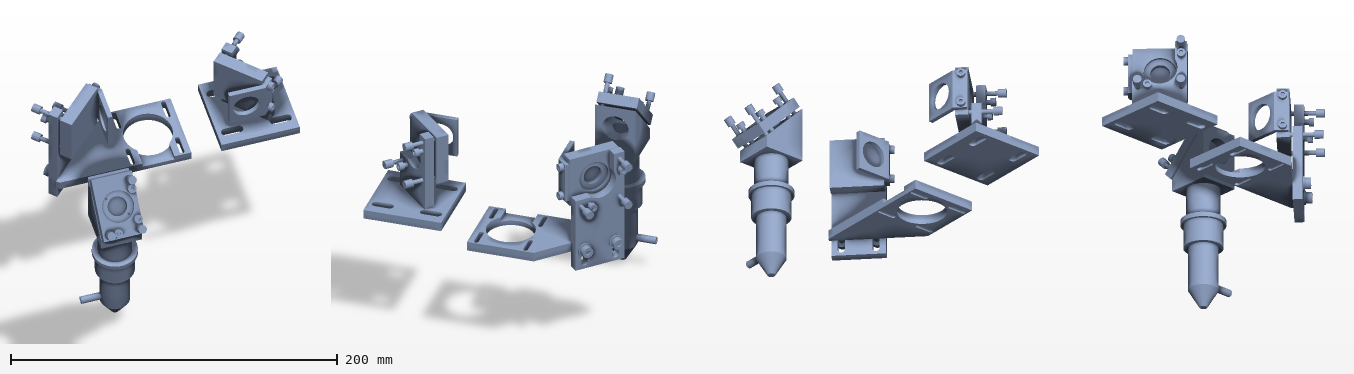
import cadquery as cq
import math


BEAM_Z = 36.4
MIRROR_X = -31.8
BASE_MIRROR_Y = 49.9
MOTOR_MIRROR_Y = -53.7
BASE_TURN = -135
MOTOR_TURN = -45

GAP = 2.0
HEAD_DIA = 5.3
LONG_SHANK_DIA = 2.8
LONG_STANDOFF = 7.2
LONG_HEAD = 5.3
SHORT_SHANK_DIA = 3.1
SHORT_STANDOFF = 2.8
SHORT_HEAD = 3.1
SHORT_INSET = 6.0
SOCKET_FLATS = 2.5
SOCKET_DEPTH = 1.5

SEAT_DIA = 20.0
SEAT_DEPTH = 2.0
SEAT_BORE_DIA = 12.2
SEAT_BORE_DEPTH = 3.3

MOUNT_WIDTH = 33.5
POST_THICK = 6.1
POST_TOP = 54.0
NOTCH_RADIUS = 10.9
NOTCH_SIDE = 9.5
NOTCH_FLOOR = 27.5
MOUNT_SCREW = 13.3
CARRIER_THICK = 8.0
CARRIER_HEIGHT = 33.0
GUARD_THICK = 3.0
GUARD_HEIGHT = 26.0
GUARD_SETBACK = 0.5
GUARD_LEG = 21.7
GUARD_HOLE_DIA = 16.8
GUARD_SCREW_HEAD = 2.8
GUARD_SCREW_DZ = 10.0

BASE_SIDE = 50.0
BASE_THICK = 6.0
BASE_TOP = 4.0
BASE_X = -39.3
BASE_Y = 57.3
BASE_SLOT_WIDTH = 5.3
BASE_SLOT_LENGTH = 14.0
BASE_SLOT_DX = 15.8
BASE_SLOT_DY = 15.5

PLATE_LEFT = -66.2
PLATE_RIGHT = -21.4
PLATE_BACK = 15.1
PLATE_TOP = -5.5
PLATE_THICK = 6.1
PLATE_CORNER_CUT = 2.5
MOTOR_Y = -6.0
MOTOR_HOLE_DIA = 30.6
CHANNEL_WIDTH = 20.4
CHANNEL_DEPTH = 3.0
MOTOR_SLOT_WIDTH = 3.0
MOTOR_SLOT_LENGTH = 13.0
MOTOR_SLOT_DX = 14.8
MOTOR_SLOT_DY = 15.8
POST_BOTTOM = -22.0
CLAMP_DX = 10.7
CLAMP_SLOT_WIDTH = 4.5
CLAMP_SLOT_BOTTOM = -20.0
CLAMP_SHANK_DIA = 4.0
CLAMP_HEAD_DIA = 7.0
CLAMP_HEAD = 4.0
CLAMP_SOCKET_FLATS = 3.0
WASHER_DIA = 8.9
WASHER_THICK = 1.0

HEAD_X = 38.0
HEAD_Y = -51.5
BLOCK_WIDTH = 28.3
BLOCK_DEPTH = 26.0
BLOCK_BOTTOM = 15.0
BLOCK_LOW_SIDE = 7.7
BLOCK_BORE_DIA = 16.8
DOWN_BORE_DIA = 11.5
LID_LENGTH = 39.2
LID_THICK = 6.7
LID_SHIFT = 0.8
LID_SCREW_ALONG = 15.5
LID_SCREW_ACROSS = 9.9
LID_SCREW_SHIFT = 0.2
LID_DISC_DIA = 17.1
LID_DISC_THICK = 1.0
SPANNER_HOLE_DIA = 1.6
SPANNER_HOLE_RADIUS = 8.4
SPANNER_HOLE_DEPTH = 1.3
BARREL_RADIUS = 10.5
FLANGE_RADIUS = 14.2
FLANGE_TOP = -6.1
FLANGE_BOTTOM = -9.0
SLEEVE_RADIUS = 12.3
SLEEVE_BOTTOM = -24.4
NOZZLE_RADIUS = 9.4
CONE_TOP = -52.7
TIP_RADIUS = 2.5
TIP_Z = -64.2
INLET_Z = -47.9
INLET_DIA = 4.6
INLET_BORE_DIA = 2.5
INLET_END_Y = -73.4


def cap_screw(plane, x, y, head_dia, head_length, shank_dia, standoff, depth, socket_flats=0):
    """Screw at (x, y) of a plane; the head starts at standoff, the shank reaches depth below the plane."""
    at_point = cq.Workplane(plane).center(x, y)
    shank = at_point.workplane(offset=-depth).circle(shank_dia / 2).extrude(depth + standoff)
    head = at_point.workplane(offset=standoff).circle(head_dia / 2).extrude(head_length)
    if socket_flats:
        across_corners = socket_flats / math.cos(math.radians(30))
        rim = at_point.workplane(offset=standoff + head_length)
        head = head.cut(rim.polygon(6, across_corners).extrude(-SOCKET_DEPTH))
    return head.union(shank)


def long_screw(plane, x, y, depth):
    return cap_screw(plane, x, y, HEAD_DIA, LONG_HEAD, LONG_SHANK_DIA, LONG_STANDOFF, depth)


def short_screw(plane, x, y, depth):
    return cap_screw(plane, x, y, HEAD_DIA, SHORT_HEAD, SHORT_SHANK_DIA, SHORT_STANDOFF, depth, SOCKET_FLATS)


def mirror_recess(plane):
    """Cutter for a mirror seat and the deeper bore in its floor."""
    seat = cq.Workplane(plane).circle(SEAT_DIA / 2).extrude(-SEAT_DEPTH)
    bore = cq.Workplane(plane).circle(SEAT_BORE_DIA / 2).extrude(-SEAT_DEPTH - SEAT_BORE_DEPTH)
    return seat.union(bore)


def block(x_min, x_max, y_min, y_max, z_min, z_max):
    return cq.Workplane("XY").box(
        x_max - x_min, y_max - y_min, z_max - z_min, centered=False
    ).translate((x_min, y_min, z_min))


CARRIER_FRONT = -CARRIER_THICK / 2
POST_REAR = CARRIER_FRONT - GAP
POST_FRONT = POST_REAR - POST_THICK
HALF_WIDTH = MOUNT_WIDTH / 2
POST_FACE = cq.Plane(origin=(0, POST_FRONT, BEAM_Z), xDir=(1, 0, 0), normal=(0, -1, 0))


def mount_post(bottom):
    """Fixed plate with its upper corner cut away around the mirror."""
    post = block(-HALF_WIDTH, HALF_WIDTH, POST_FRONT, POST_REAR, bottom, POST_TOP)
    corner = block(-HALF_WIDTH, NOTCH_SIDE, POST_FRONT, POST_REAR, BEAM_Z, POST_TOP)
    side = block(-HALF_WIDTH, 0, POST_FRONT, POST_REAR, NOTCH_FLOOR, BEAM_Z)
    round_cut = cq.Workplane(POST_FACE).circle(NOTCH_RADIUS).extrude(-POST_THICK)
    return post.cut(corner).cut(side).cut(round_cut)


def mirror_carrier():
    half_height = CARRIER_HEIGHT / 2
    carrier = block(
        -HALF_WIDTH, HALF_WIDTH, CARRIER_FRONT, -CARRIER_FRONT, BEAM_Z - half_height, BEAM_Z + half_height
    )
    face = cq.Plane(origin=(0, CARRIER_FRONT, BEAM_Z), xDir=(1, 0, 0), normal=(0, -1, 0))
    return carrier.cut(mirror_recess(face))


def beam_guard():
    """Bent strip on the carrier's -X end, its leg at 45 degrees with a beam hole."""
    diagonal = math.sqrt(0.5)
    outer_x = -HALF_WIDTH - GUARD_THICK
    bend_y = CARRIER_THICK / 2
    front_y = CARRIER_FRONT + GUARD_SETBACK
    leg_x = -HALF_WIDTH + GUARD_LEG * diagonal
    leg_y = bend_y + GUARD_LEG * diagonal
    guard = (
        cq.Workplane("XY", origin=(0, 0, BEAM_Z))
        .polyline([
            (-HALF_WIDTH, front_y),
            (-HALF_WIDTH, bend_y),
            (leg_x, leg_y),
            (leg_x - GUARD_THICK * diagonal, leg_y + GUARD_THICK * diagonal),
            (outer_x, bend_y + GUARD_THICK * math.tan(math.radians(22.5))),
            (outer_x, front_y),
        ])
        .close()
        .extrude(GUARD_HEIGHT / 2, both=True)
    )
    leg_middle = ((leg_x - HALF_WIDTH) / 2, (leg_y + bend_y) / 2, BEAM_Z)
    leg_face = cq.Plane(origin=leg_middle, xDir=(1, 1, 0), normal=(-1, 1, 0))
    guard = guard.cut(cq.Workplane(leg_face).circle(GUARD_HOLE_DIA / 2).extrude(GUARD_THICK))
    end_face = cq.Plane(origin=(outer_x, 0, BEAM_Z), xDir=(0, -1, 0), normal=(-1, 0, 0))
    for z in (-GUARD_SCREW_DZ, GUARD_SCREW_DZ):
        guard = guard.union(cap_screw(
            end_face, 0, z, HEAD_DIA, GUARD_SCREW_HEAD, SHORT_SHANK_DIA, 0, GUARD_THICK, SOCKET_FLATS
        ))
    return guard


def mirror_mount(bottom):
    mount = mount_post(bottom).union(mirror_carrier()).union(beam_guard())
    near = MOUNT_SCREW - SHORT_INSET
    for x, z in ((MOUNT_SCREW, MOUNT_SCREW), (MOUNT_SCREW, -MOUNT_SCREW), (-MOUNT_SCREW, -MOUNT_SCREW)):
        mount = mount.union(long_screw(POST_FACE, x, z, POST_THICK + GAP))
    for x, z in ((MOUNT_SCREW, near), (-near, -MOUNT_SCREW)):
        mount = mount.union(short_screw(POST_FACE, x, z, POST_THICK))
    return mount


def place_mount(mount, turn, mirror_y):
    return mount.rotate((0, 0, 0), (0, 0, 1), turn).translate((MIRROR_X, mirror_y, 0))


def slot_grid(x, y, dx, dy, top, length, width, angle, depth):
    """Cutter for four slots around (x, y)."""
    return (
        cq.Workplane("XY", origin=(x, y, top))
        .rect(2 * dx, 2 * dy, forConstruction=True)
        .vertices()
        .slot2D(length, width, angle)
        .extrude(-depth)
    )


def make_base_mount():
    base = cq.Workplane("XY", origin=(BASE_X, BASE_Y, BASE_TOP)).rect(BASE_SIDE, BASE_SIDE).extrude(-BASE_THICK)
    base = base.cut(slot_grid(
        BASE_X, BASE_Y, BASE_SLOT_DX, BASE_SLOT_DY, BASE_TOP, BASE_SLOT_LENGTH, BASE_SLOT_WIDTH, 90, BASE_THICK
    ))
    return base.union(place_mount(mirror_mount(BASE_TOP), BASE_TURN, BASE_MIRROR_Y))


CLAMP_Z = PLATE_TOP - PLATE_THICK / 2


def make_motor_mount():
    mount = mirror_mount(POST_BOTTOM)
    slot_top = CLAMP_Z + CLAMP_SLOT_WIDTH / 2
    slot_length = slot_top - CLAMP_SLOT_BOTTOM
    slot_middle = (slot_top + CLAMP_SLOT_BOTTOM) / 2 - BEAM_Z
    for x in (-CLAMP_DX, CLAMP_DX):
        on_face = cq.Workplane(POST_FACE)
        slot = on_face.center(x, slot_middle).slot2D(slot_length, CLAMP_SLOT_WIDTH, 90).extrude(-POST_THICK)
        washer = on_face.center(x, CLAMP_Z - BEAM_Z).circle(WASHER_DIA / 2).extrude(WASHER_THICK)
        screw = cap_screw(
            POST_FACE, x, CLAMP_Z - BEAM_Z, CLAMP_HEAD_DIA, CLAMP_HEAD, CLAMP_SHANK_DIA,
            WASHER_THICK, POST_THICK, CLAMP_SOCKET_FLATS,
        )
        mount = mount.cut(slot).union(washer).union(screw)
    return place_mount(mount, MOTOR_TURN, MOTOR_MIRROR_Y)


def make_motor_plate():
    middle_x = (PLATE_LEFT + PLATE_RIGHT) / 2
    edge_sum = MIRROR_X + MOTOR_MIRROR_Y + POST_REAR * math.sqrt(2)
    cut = PLATE_CORNER_CUT * math.sqrt(0.5)
    cut_x = PLATE_RIGHT - cut
    cut_y = edge_sum - cut_x
    plate = (
        cq.Workplane("XY", origin=(0, 0, PLATE_TOP))
        .polyline([
            (PLATE_LEFT, PLATE_BACK),
            (PLATE_RIGHT, PLATE_BACK),
            (PLATE_RIGHT, cut_y + cut),
            (cut_x, cut_y),
            (PLATE_LEFT, edge_sum - PLATE_LEFT),
        ])
        .close()
        .extrude(-PLATE_THICK)
    )
    motor_hole = cq.Workplane("XY", origin=(middle_x, MOTOR_Y, PLATE_TOP)).circle(MOTOR_HOLE_DIA / 2)
    half_channel = CHANNEL_WIDTH / 2
    channel = block(
        middle_x, PLATE_RIGHT, MOTOR_Y - half_channel, MOTOR_Y + half_channel, PLATE_TOP - CHANNEL_DEPTH, PLATE_TOP
    )
    slots = slot_grid(
        middle_x, MOTOR_Y, MOTOR_SLOT_DX, MOTOR_SLOT_DY, PLATE_TOP,
        MOTOR_SLOT_LENGTH, MOTOR_SLOT_WIDTH, 0, PLATE_THICK,
    )
    return plate.cut(motor_hole.extrude(-PLATE_THICK)).cut(channel).cut(slots)


def head_block():
    """Wedge with a 45 degree slope, the beam bore entering its -X side and a bore down from it."""
    left = HEAD_X - BLOCK_WIDTH / 2
    right = HEAD_X + BLOCK_WIDTH / 2
    low_top = BLOCK_BOTTOM + BLOCK_LOW_SIDE
    wedge = (
        cq.Workplane("XZ", origin=(0, HEAD_Y, 0))
        .polyline([(left, BLOCK_BOTTOM), (right, BLOCK_BOTTOM), (right, low_top), (left, low_top + BLOCK_WIDTH)])
        .close()
        .extrude(BLOCK_DEPTH / 2, both=True)
    )
    bore = cq.Workplane("YZ", origin=(left, HEAD_Y, BEAM_Z)).circle(BLOCK_BORE_DIA / 2).extrude(BLOCK_WIDTH)
    down_bore = (
        cq.Workplane("XY", origin=(HEAD_X, HEAD_Y, BLOCK_BOTTOM))
        .circle(DOWN_BORE_DIA / 2)
        .extrude(BEAM_Z - BLOCK_BOTTOM)
    )
    return wedge.cut(bore).cut(down_bore)


def head_lid():
    """Mirror plate held off the slope by its adjusting screws."""
    slope_middle_z = BLOCK_BOTTOM + BLOCK_LOW_SIDE + BLOCK_WIDTH / 2
    slope = cq.Plane(origin=(HEAD_X, HEAD_Y, slope_middle_z), xDir=(1, 0, -1), normal=(1, 0, 1))
    top = cq.Plane(origin=slope.toWorldCoords((LID_SHIFT, 0, GAP + LID_THICK)), xDir=(1, 0, -1), normal=(1, 0, 1))
    lid = cq.Workplane(top).rect(LID_LENGTH, BLOCK_DEPTH).extrude(-LID_THICK)
    disc = cq.Workplane(top).workplane(offset=-LID_THICK).circle(LID_DISC_DIA / 2).extrude(-LID_DISC_THICK)
    spanner_holes = (
        cq.Workplane(top)
        .workplane(offset=-SEAT_DEPTH)
        .polarArray(SPANNER_HOLE_RADIUS, 45, 360, 2)
        .circle(SPANNER_HOLE_DIA / 2)
        .extrude(-SPANNER_HOLE_DEPTH)
    )
    lid = lid.cut(mirror_recess(top)).cut(spanner_holes).union(disc)
    low = LID_SCREW_SHIFT + LID_SCREW_ALONG
    high = LID_SCREW_SHIFT - LID_SCREW_ALONG
    across = LID_SCREW_ACROSS
    for x, y in ((high, across), (low, across), (low, -across)):
        lid = lid.union(long_screw(top, x, y, LID_THICK + GAP))
    for x, y in ((high + SHORT_INSET, across), (low - SHORT_INSET, across), (low, SHORT_INSET - across)):
        lid = lid.union(short_screw(top, x, y, LID_THICK + GAP))
    return lid


def head_barrel():
    """Turned lens tube, collar and nozzle below the block."""
    return (
        cq.Workplane("XZ")
        .polyline([
            (0, BLOCK_BOTTOM),
            (BARREL_RADIUS, BLOCK_BOTTOM),
            (BARREL_RADIUS, FLANGE_TOP),
            (FLANGE_RADIUS, FLANGE_TOP),
            (FLANGE_RADIUS, FLANGE_BOTTOM),
            (SLEEVE_RADIUS, FLANGE_BOTTOM),
            (SLEEVE_RADIUS, SLEEVE_BOTTOM),
            (NOZZLE_RADIUS, SLEEVE_BOTTOM),
            (NOZZLE_RADIUS, CONE_TOP),
            (TIP_RADIUS, TIP_Z),
            (0, TIP_Z),
        ])
        .close()
        .revolve(360, (0, 0), (0, 1))
        .translate((HEAD_X, HEAD_Y, 0))
    )


def gas_inlet():
    """Tube on the -Y side of the nozzle."""
    length = HEAD_Y - INLET_END_Y
    end = cq.Workplane("XZ", origin=(HEAD_X, INLET_END_Y, INLET_Z))
    tube = end.circle(INLET_DIA / 2).extrude(-length)
    return tube.cut(end.circle(INLET_BORE_DIA / 2).extrude(NOZZLE_RADIUS - length))


def make_laser_head():
    return head_block().union(head_lid()).union(head_barrel()).union(gas_inlet())


base_mount = make_base_mount()
motor_mount = make_motor_mount()
motor_plate = make_motor_plate()
laser_head = make_laser_head()

result = cq.Compound.makeCompound([
    base_mount.val(),
    motor_mount.val(),
    motor_plate.val(),
    laser_head.val(),
])